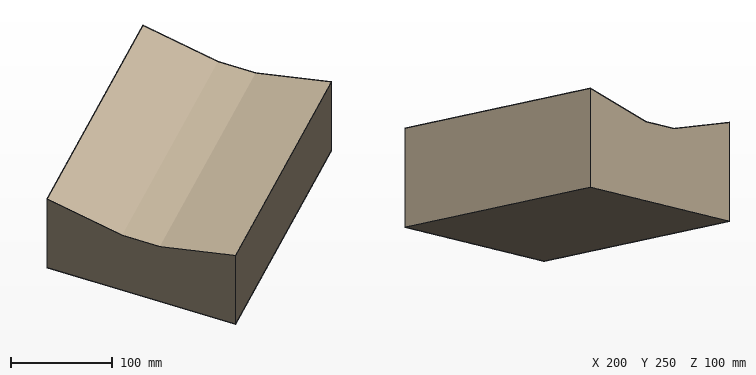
import cadquery as cq

width = 200.0
length = 250.0
height = 100.0

trough_depth = 20.0
floor_width = 40.0

half_width = width / 2
half_floor = floor_width / 2
floor_height = height - trough_depth

profile = [
    (-half_width, 0),
    (half_width, 0),
    (half_width, height),
    (half_floor, floor_height),
    (-half_floor, floor_height),
    (-half_width, height),
]

result = cq.Workplane("XZ").polyline(profile).close().extrude(length / 2, both=True)